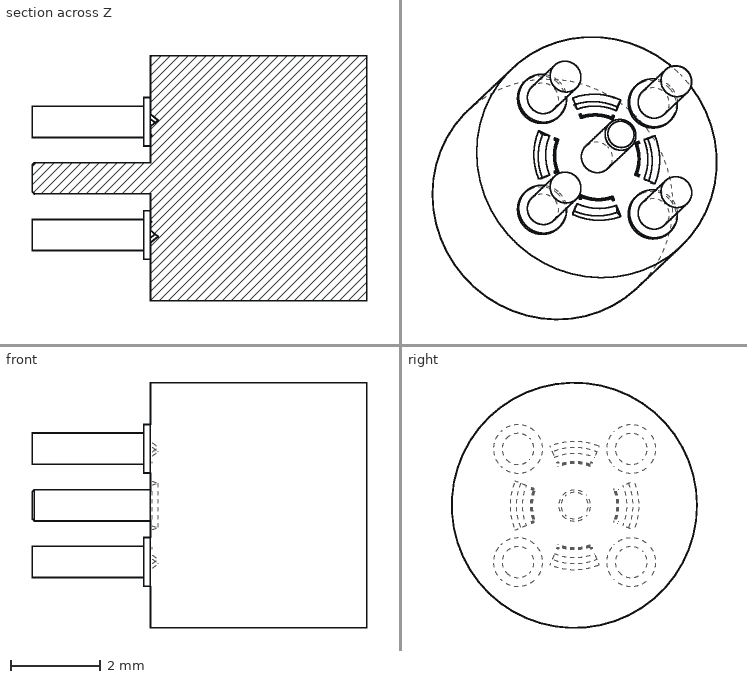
import cadquery as cq

total_length = 7.5
pin_length = 2.65
body_length = total_length - pin_length
body_diameter = 5.5

pin_diameter = 0.705
centre_pin_chamfer = 0.05
corner_pin_offset = 1.27
collar_diameter = 1.095
collar_height = 0.15

groove_count = 4
outer_groove_sweep = 45.0
inner_groove_sweep = 43.0
outer_groove_radius = 1.305
outer_groove_width = 0.27
outer_groove_depth = 0.17
inner_groove_radius = 0.97
inner_groove_width = 0.045
inner_groove_depth = 0.03

spur_outer_radius = 1.04


def rod(diameter, height):
    """Cylinder on the X axis rising from the pin face towards -X."""
    return cq.Workplane("YZ").circle(diameter / 2).extrude(-height)


def v_section(centre, width, depth):
    """V in the XY plane, open at the pin face and pointing into the body."""
    points = [(0, centre - width / 2), (depth, centre), (0, centre + width / 2)]
    return cq.Workplane("XY").polyline(points).close()


def turn(shape, angle):
    """Rotate a shape about the body axis."""
    return shape.rotate((0, 0, 0), (1, 0, 0), angle)


def arc_groove(radius, width, depth, sweep):
    """V-groove cutter swept about the X axis and centred on +Y."""
    swept = v_section(radius, width, depth).revolve(sweep, (0, 0, 0), (1, 0, 0))
    return turn(swept, -sweep / 2)


def spur_groove():
    """Radial V-groove cutter along +Z, from the inner groove's inner edge outwards."""
    start_radius = inner_groove_radius - inner_groove_width / 2
    spur = v_section(0, inner_groove_width, inner_groove_depth).extrude(spur_outer_radius - start_radius)
    return spur.translate((0, 0, start_radius))


def make_body():
    body = cq.Workplane("YZ").circle(body_diameter / 2).extrude(body_length)
    outer_groove = arc_groove(outer_groove_radius, outer_groove_width, outer_groove_depth, outer_groove_sweep)
    inner_groove = arc_groove(inner_groove_radius, inner_groove_width, inner_groove_depth, inner_groove_sweep)
    spur = spur_groove()
    for index in range(groove_count):
        direction = index * 360 / groove_count
        body = body.cut(turn(outer_groove, direction))
        body = body.cut(turn(inner_groove, direction))
        body = body.cut(turn(spur, direction - inner_groove_sweep / 2))
        body = body.cut(turn(spur, direction + inner_groove_sweep / 2))
    return body


def make_centre_pin():
    return rod(pin_diameter, pin_length).faces("<X").chamfer(centre_pin_chamfer)


def make_corner_pin():
    return rod(pin_diameter, pin_length).union(rod(collar_diameter, collar_height))


result = make_body().union(make_centre_pin())
corner_pin = make_corner_pin()
for y_side in (-1, 1):
    for z_side in (-1, 1):
        position = (0, y_side * corner_pin_offset, z_side * corner_pin_offset)
        result = result.union(corner_pin.translate(position))